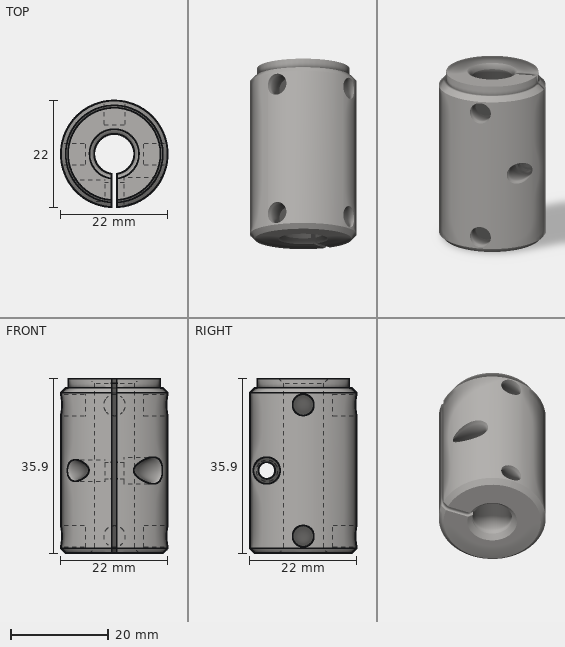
import cadquery as cq

body_dia = 22.0
body_height = 34.0
neck_dia = 19.0
neck_height = 1.9
total_height = body_height + neck_height
body_radius = body_dia / 2
edge_chamfer = 1.0

bore_dia = 8.2
bore_chamfer = 1.0

slit_width = 1.1

radial_hole_dia = 4.4
radial_hole_depth = 5.0
radial_row_offset = 13.5
radial_hole_angles = (0, 90, 180)

mid_height = body_height / 2
screw_y = -7.5
screw_clearance_dia = 3.4
nut_side_dia = 4.4
head_side_dia = 5.5
screw_seat_x = 2.0


def make_body():
    """Chamfered cylinder with a short neck on top."""
    body = cq.Workplane("XY").circle(body_radius).extrude(body_height)
    body = body.edges().chamfer(edge_chamfer)
    neck = cq.Workplane("XY").workplane(offset=body_height).circle(neck_dia / 2).extrude(neck_height)
    return body.union(neck)


def make_bore():
    """Revolved axial bore with a 45 degree countersink at each end."""
    bore_radius = bore_dia / 2
    mouth_radius = bore_radius + bore_chamfer
    profile = (
        cq.Workplane("XZ")
        .moveTo(0, 0)
        .lineTo(mouth_radius, 0)
        .lineTo(bore_radius, bore_chamfer)
        .lineTo(bore_radius, total_height - bore_chamfer)
        .lineTo(mouth_radius, total_height)
        .lineTo(0, total_height)
        .close()
    )
    return profile.revolve(360, (0, 0, 0), (0, 1, 0))


def make_slit():
    """Full-height slot from the bore out through the -Y side."""
    return cq.Workplane("XY").box(slit_width, body_radius, total_height, centered=(True, False, False)).translate(
        (0, -body_radius, 0)
    )


def make_radial_holes():
    """Flat-bottomed holes drilled inwards from the outer surface."""
    holes = cq.Workplane("XY")
    for z in (mid_height - radial_row_offset, mid_height + radial_row_offset):
        hole = (
            cq.Workplane("YZ", origin=(body_radius - radial_hole_depth, 0, z))
            .circle(radial_hole_dia / 2)
            .extrude(radial_hole_depth)
        )
        for angle in radial_hole_angles:
            holes = holes.add(hole.rotate((0, 0, 0), (0, 0, 1), angle))
    return holes.combine()


def make_x_cylinder(diameter, x_start, x_end):
    """Cylinder along X on the clamp screw axis."""
    start_plane = cq.Workplane("YZ", origin=(x_start, screw_y, mid_height))
    return start_plane.circle(diameter / 2).extrude(x_end - x_start)


def make_screw_hole():
    """Clearance hole, counterbored wider on each side of the slit."""
    clearance = make_x_cylinder(screw_clearance_dia, -body_radius, body_radius)
    nut_side = make_x_cylinder(nut_side_dia, -body_radius, -screw_seat_x)
    head_side = make_x_cylinder(head_side_dia, screw_seat_x, body_radius)
    return clearance.union(nut_side).union(head_side)


result = (
    make_body()
    .cut(make_bore())
    .cut(make_slit())
    .cut(make_radial_holes())
    .cut(make_screw_hole())
)